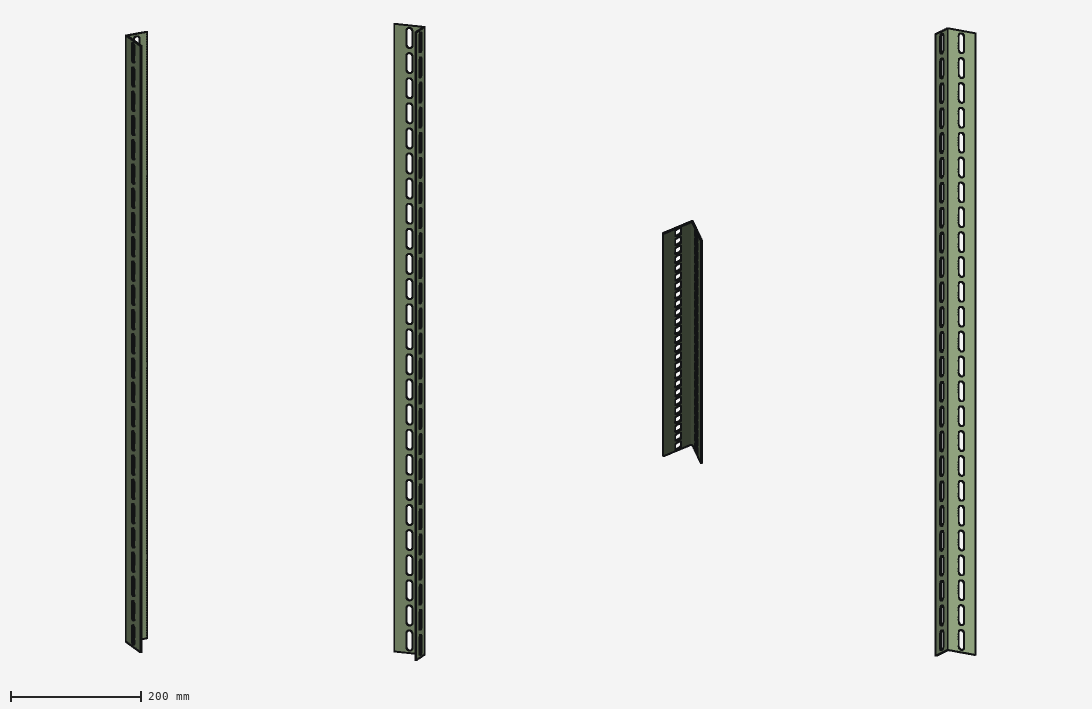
import cadquery as cq

length = 1000.0
wide_leg = 50.0
narrow_leg = 36.0
thickness = 2.0
inside_radius = 2.0

slot_count = 25
slot_pitch = length / slot_count
slot_length = 32.0
slot_width = 10.0


def angle_bar():
    """L-shaped bar standing along Z, outside corner on the Z axis, legs along +X and +Y."""
    fillet_end = thickness + inside_radius
    return (
        cq.Workplane("XY")
        .lineTo(wide_leg, 0)
        .lineTo(wide_leg, thickness)
        .lineTo(fillet_end, thickness)
        .radiusArc((thickness, fillet_end), inside_radius)
        .lineTo(thickness, narrow_leg)
        .lineTo(0, narrow_leg)
        .close()
        .extrude(length)
    )


def slot_row(plane, leg_width, depth):
    """Cutters for one leg: equally spaced slots, long axis along Z."""
    centers = [(leg_width / 2, (i + 0.5) * slot_pitch) for i in range(slot_count)]
    return (
        cq.Workplane(plane)
        .pushPoints(centers)
        .slot2D(slot_length, slot_width, angle=90)
        .extrude(depth)
    )


wide_leg_slots = slot_row("XZ", wide_leg, -thickness)
narrow_leg_slots = slot_row("YZ", narrow_leg, thickness)

result = angle_bar().cut(wide_leg_slots).cut(narrow_leg_slots)